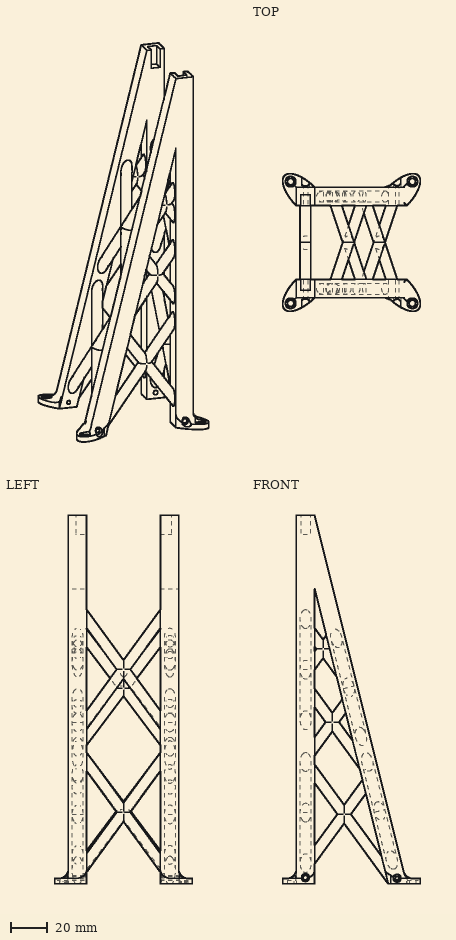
import cadquery as cq
import math

height = 200.0
base_half = 25.0
bar = 10.0
half_bar = bar / 2
inner = base_half - half_bar
outer = base_half + half_bar
leg_slope = 2 * base_half / height
leg_lean = math.atan(leg_slope)

foot_thickness = 3.0
foot_half_length = 16.0
foot_half_width = half_bar * math.sqrt(2)
fillet_radius = 5.0
fillet_reach = 4.95
fillet_top = foot_thickness + fillet_radius - math.sqrt(fillet_radius ** 2 - fillet_reach ** 2)
gusset_x = 21.3
gusset_y = 31.2

mount_offset = 33.0
mount_diameter = 3.5
mount_head_diameter = 5.7
mount_head_depth = 1.0

post_screw_z = 3.4
post_screw_diameter = 2.5
post_screw_head = 4.2
leg_screw_x = 24.7
leg_screw_z = 3.1
leg_screw_diameter = 2.0
leg_screw_head = 4.2

slot_width = 5.0
slot_reach = 6.0
slot_depth = 10.5

brace_diameter = 6.0
brace_angle = math.radians(53.9)
side_crossings = (37.8, 87.7, 127.4)
side_crossing_x = (-4.0, -10.4, -15.4)
post_crossings = (38.8, 116.3)
leg_crossings = (39.7, 106.7)


def leg_centre_x(z):
    return base_half - leg_slope * z


def leg_outer_x(z):
    return leg_centre_x(z) + half_bar


def slab(outline, y_start, y_end):
    """Closed XZ outline extruded between two Y positions."""
    return outline.extrude(y_start - y_end).translate((0, y_start, 0))


def polygon(points):
    return cq.Workplane("XZ").polyline(points).close()


def rod(start, end, diameter):
    axis = cq.Vector(*end) - cq.Vector(*start)
    return cq.Workplane(obj=cq.Solid.makeCylinder(diameter / 2, axis.Length, cq.Vector(*start), axis))


def side_bars():
    post = cq.Workplane("XY").box(bar, bar, height, centered=(True, True, False))
    post = post.translate((-base_half, base_half, 0))
    leg = polygon([(inner, 0), (outer, 0), (-inner, height), (-inner, height - bar / leg_slope)])
    return post.union(slab(leg, inner, outer))


def cable_slot():
    slot = cq.Workplane("XY").box(slot_width, slot_reach, slot_depth, centered=(True, False, False))
    return slot.translate((-base_half, inner, height - slot_depth))


def foot_ellipse(side, depth):
    """Half ellipse pointing diagonally outwards; side is -1 at the post and +1 at the leg."""
    ellipse = cq.Workplane("XY").ellipse(foot_half_length, foot_half_width).extrude(depth)
    outward = cq.Workplane("XY").box(
        foot_half_length, 2 * foot_half_width, depth, centered=(False, True, False))
    angle = 90 - 45 * side
    return ellipse.intersect(outward).rotate((0, 0, 0), (0, 0, 1), angle).translate(
        (side * base_half, base_half, 0))


def fillet_block(side):
    """Block around the foot of a bar, hollowed by two crossing cylinders into mitred fillets."""
    axis_z = foot_thickness + fillet_radius
    axis_y = outer + fillet_reach
    axis_x = leg_fillet_axis_x() if side > 0 else axis_y
    far = 2 * axis_y
    block = cq.Workplane("XY").box(axis_x, axis_y, axis_z, centered=False)
    block = block.cut(rod((axis_x, -far, axis_z), (axis_x, far, axis_z), 2 * fillet_radius))
    block = block.cut(rod((-far, axis_y, axis_z), (far, axis_y, axis_z), 2 * fillet_radius))
    return block if side > 0 else block.mirror("YZ")


def leg_fillet_axis_x():
    """The axis that makes the fillet almost touch the leaning outer face of the leg."""
    tangent_reach = fillet_radius * math.tan((math.pi / 2 - leg_lean) / 2)
    return leg_outer_x(foot_thickness) + tangent_reach - (fillet_radius - fillet_reach)


def leg_foot_gusset():
    """Wedge that carries the ellipse on to the inner face of the leaning leg."""
    start_x = leg_centre_x(fillet_top) - half_bar
    wedge = cq.Workplane("XY").polyline(
        [(start_x, outer), (gusset_x, gusset_y), (gusset_x, outer)]).close().extrude(fillet_top)
    lean_side = polygon([(inner, 0), (gusset_x, 0), (gusset_x, fillet_top), (start_x, fillet_top)])
    return wedge.intersect(slab(lean_side, outer, gusset_y))


def foot(side):
    far = outer + foot_half_length
    plate = cq.Workplane("XY").box(2 * far, 2 * far, foot_thickness, centered=(True, True, False))
    column = foot_ellipse(side, fillet_top)
    if side > 0:
        column = column.union(leg_foot_gusset())
    return column.intersect(plate.union(fillet_block(side)))


def mount_hole(side):
    x = side * mount_offset
    hole = rod((x, mount_offset, 0), (x, mount_offset, foot_thickness), mount_diameter)
    head_z = foot_thickness - mount_head_depth
    head = rod((x, mount_offset, head_z), (x, mount_offset, fillet_top), mount_head_diameter)
    return hole.union(head)


def side_screw(x, z, diameter, head_diameter):
    """Horizontal screw hole through the bar, with head clearance outside its outer face."""
    far = base_half + foot_half_length
    return rod((x, 0, z), (x, far, z), diameter).union(rod((x, outer, z), (x, far, z), head_diameter))


def side_braces():
    rise = math.tan(brace_angle)
    braces = cq.Workplane("XY")
    for x, z in zip(side_crossing_x, side_crossings):
        for direction in (-1, 1):
            start_z = z - direction * rise * (x + base_half)
            reach = (leg_centre_x(z) - x) / (1 + direction * rise * leg_slope)
            end = (x + reach, base_half, z + direction * rise * reach)
            braces = braces.union(rod((-base_half, base_half, start_z), end, brace_diameter))
    return braces


def cross_braces(x, z, lean):
    """Two crossed rods between the side frames, in a plane leaning towards -X."""
    climb = base_half * math.tan(brace_angle)
    dx = -climb * math.sin(lean)
    dz = climb * math.cos(lean)
    rising = rod((x - dx, -base_half, z - dz), (x + dx, base_half, z + dz), brace_diameter)
    return rising.union(rising.mirror("XZ"))


frame = side_bars().cut(cable_slot()).union(side_braces())
for side in (-1, 1):
    frame = frame.union(foot(side)).cut(mount_hole(side))

result = frame.union(frame.mirror("XZ"))
for z in post_crossings:
    result = result.union(cross_braces(-base_half, z, 0))
for z in leg_crossings:
    result = result.union(cross_braces(leg_centre_x(z), z, leg_lean))

ground_depth = bar
ground = cq.Workplane("XY").box(4 * outer, 4 * outer, ground_depth, centered=(True, True, False))
result = result.cut(ground.translate((0, 0, -ground_depth)))

for screw in (side_screw(-base_half, post_screw_z, post_screw_diameter, post_screw_head),
              side_screw(leg_screw_x, leg_screw_z, leg_screw_diameter, leg_screw_head)):
    result = result.cut(screw.union(screw.mirror("XZ")))